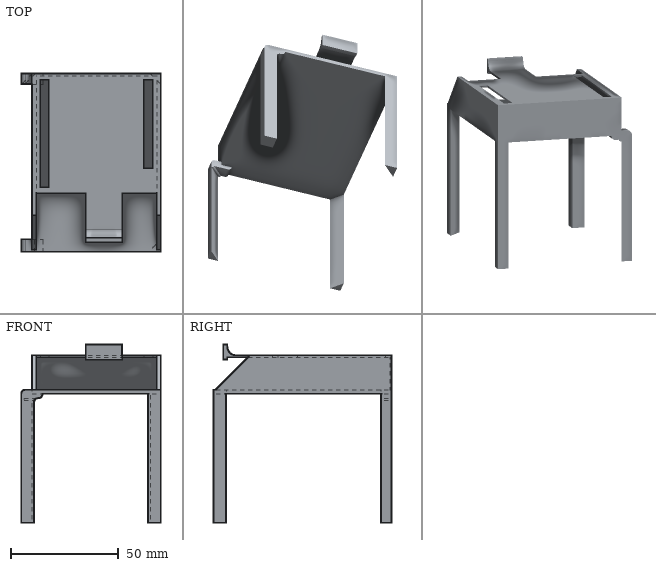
import cadquery as cq
import math


housing_width = 60.0
housing_length = 83.0
wall = 2.0
rear_wall_thickness = 1.0
floor_thickness = 2.0
deck_thickness = 1.0
inner_height = 16.0
deck_length = 55.6
side_wall_length = 82.0

slot_width = 4.1
slot_side_margin = 3.8
slot_rear_margin = 3.0
left_slot_length = 50.0
right_slot_length = 41.0

tongue_left = 25.0
tongue_width = 17.0
tongue_tip = 78.4
finger_thickness = 2.0
finger_height = 7.0
finger_rise = 5.0
finger_fillet = 4.0

leg_height = 60.0
front_leg_side = 6.0
rear_leg_side = 5.0
bracket_overhang = 5.0
bracket_thickness = 4.0
bracket_radius = 2.0
rear_leg_fillet = 1.0

floor_top = leg_height + floor_thickness
deck_top = floor_top + inner_height
deck_bottom = deck_top - deck_thickness
bracket_bottom = floor_top - bracket_thickness
front_leg_face = -housing_length


def block(x, y, z):
    """Box given by its (low, high) limits along each axis."""
    size = [high - low for low, high in (x, y, z)]
    return cq.Workplane("XY").box(*size, centered=False).translate((x[0], y[0], z[0]))


def make_side_wall(x):
    """Side wall with a 45 degree front edge running down to the floor."""
    slope_top = side_wall_length - inner_height
    return (
        cq.Workplane("YZ", origin=(x, 0, 0))
        .moveTo(0, leg_height)
        .lineTo(-side_wall_length, leg_height)
        .lineTo(-side_wall_length, floor_top)
        .lineTo(-slope_top, deck_top)
        .lineTo(0, deck_top)
        .close()
        .extrude(wall)
    )


def make_slot(x, length):
    """Cutter for one deck slot."""
    rear = -slot_rear_margin
    return block((x, x + slot_width), (rear - length, rear), (deck_bottom, deck_top))


def make_housing():
    floor = block((0, housing_width), (-housing_length, 0), (leg_height, floor_top))
    rear_wall = block((0, housing_width), (-rear_wall_thickness, 0), (leg_height, deck_top))
    deck = block((0, housing_width), (-deck_length, 0), (deck_bottom, deck_top))
    right_slot_x = housing_width - slot_side_margin - slot_width
    deck = deck.cut(make_slot(slot_side_margin, left_slot_length))
    deck = deck.cut(make_slot(right_slot_x, right_slot_length))
    housing = floor.union(rear_wall).union(deck)
    for x in (0, housing_width - wall):
        housing = housing.union(make_side_wall(x))
    return housing


def make_tongue():
    """Tongue, finger plate and the concave fillet between them, as one side profile."""
    finger_rear = -(tongue_tip - finger_thickness)
    finger_top = deck_top + finger_rise
    finger_bottom = finger_top - finger_height
    return (
        cq.Workplane("YZ", origin=(tongue_left, 0, 0))
        .moveTo(-deck_length, deck_bottom)
        .lineTo(finger_rear, deck_bottom)
        .lineTo(finger_rear, finger_bottom)
        .lineTo(-tongue_tip, finger_bottom)
        .lineTo(-tongue_tip, finger_top)
        .lineTo(finger_rear, finger_top)
        .lineTo(finger_rear, deck_top + finger_fillet)
        .radiusArc((finger_rear + finger_fillet, deck_top), -finger_fillet)
        .lineTo(-deck_length, deck_top)
        .close()
        .extrude(tongue_width)
    )


def triangle_prism(corners, height):
    return cq.Workplane("XY").polyline(corners).close().extrude(height)


def make_bracket(front, depth):
    """Slab with a rounded outer shoulder and a rounded lower edge in under the floor."""
    outer = -bracket_overhang
    bracket_end = outer + front_leg_side + 2 * bracket_radius
    bracket = block((outer, bracket_end), (front, front + depth), (bracket_bottom, floor_top))
    bracket = bracket.edges("|Y and <X and >Z").fillet(bracket_radius)
    return bracket.edges("|Y and >X and <Z").fillet(bracket_radius)


def make_front_left_leg():
    """Rectangular leg under its bracket, with a concave fillet on the inner side."""
    outer = -bracket_overhang
    inner = outer + front_leg_side
    shaft = (
        cq.Workplane("XZ", origin=(0, front_leg_face, 0))
        .moveTo(outer, 0)
        .lineTo(inner, 0)
        .lineTo(inner, bracket_bottom - bracket_radius)
        .radiusArc((inner + bracket_radius, bracket_bottom), bracket_radius)
        .lineTo(outer, bracket_bottom)
        .close()
        .extrude(-front_leg_side)
    )
    return shaft.union(make_bracket(front_leg_face, front_leg_side))


def make_rear_left_leg():
    """Triangular leg, right-angled at its outer rear corner, filleted along the diagonal face."""
    outer = -bracket_overhang
    shaft = triangle_prism(
        [(outer, 0), (outer + rear_leg_side, 0), (outer, -rear_leg_side)],
        bracket_bottom,
    )
    bracket = make_bracket(-rear_leg_side, rear_leg_side)

    diagonal = cq.Plane(
        origin=(outer, -rear_leg_side, bracket_bottom), xDir=(1, -1, 0), normal=(1, 1, 0)
    )
    strip_length = math.hypot(rear_leg_side, rear_leg_side) + rear_leg_fillet
    strip = (
        cq.Workplane(diagonal)
        .lineTo(0, rear_leg_fillet)
        .radiusArc((rear_leg_fillet, 0), rear_leg_fillet)
        .close()
        .extrude(strip_length)
    )
    below_bracket = block((outer, housing_width), (-rear_leg_side, 0), (0, bracket_bottom))
    return shaft.union(bracket).union(strip.intersect(below_bracket))


def make_rear_right_leg():
    """Triangular leg with its right angle at the rear right corner."""
    right = housing_width
    return triangle_prism(
        [(right, 0), (right - rear_leg_side, 0), (right, -rear_leg_side)],
        leg_height,
    )


def make_front_right_leg():
    """Triangular leg with its right angle at the front right corner, up to the floor's upper face."""
    right = housing_width
    return triangle_prism(
        [
            (right, front_leg_face),
            (right - front_leg_side, front_leg_face),
            (right, front_leg_face + front_leg_side),
        ],
        floor_top,
    )


result = (
    make_housing()
    .union(make_tongue())
    .union(make_rear_left_leg())
    .union(make_front_left_leg())
    .union(make_rear_right_leg())
    .union(make_front_right_leg())
)